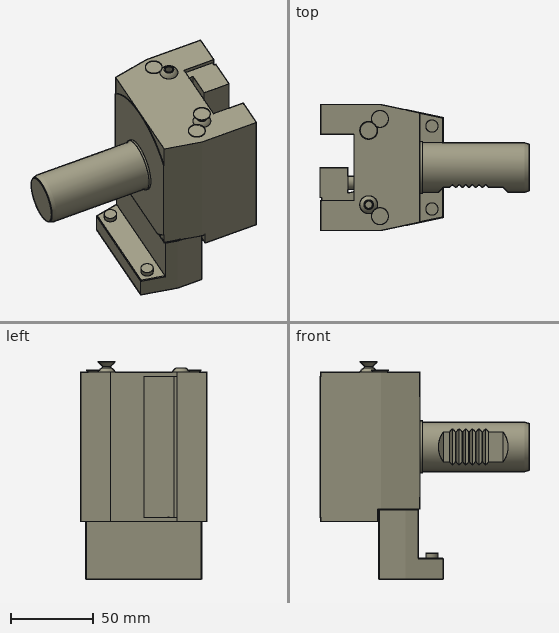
import cadquery as cq
import math


BLOCK_LENGTH = 60.0
BLOCK_WIDTH = 76.0
BLOCK_HEIGHT = 90.0
TAPER_ANGLE = 12.0
TAPER_LENGTH = 23.5
TOP_Z = BLOCK_HEIGHT / 2
SEAT_RADIUS = 45.0
SEAT_HEIGHT = 0.4
TAPER_SLOPE = math.tan(math.radians(TAPER_ANGLE))

SLOT_WIDTH = 40.0
SLOT_DEPTH = 20.0
SLOT_FLOOR_X = SLOT_DEPTH - BLOCK_LENGTH

FOOT_FRONT_X = -25.0
FOOT_BACK_X = -1.0
FOOT_LEDGE_X = 14.0
FOOT_TOP_Z = -37.5
FOOT_BOTTOM_Z = -80.0
FOOT_LEDGE_THICKNESS = 13.0
FOOT_HALF_WIDTH = 35.0
FOOT_CHAMFER = 0.5
FOOT_GAP = 0.5
FOOT_TAPER_X = -8.7
LEDGE_TOP_Z = FOOT_BOTTOM_Z + FOOT_LEDGE_THICKNESS
PIN_DIAMETER = 7.4
PIN_HEIGHT = 3.0
PIN_X = 7.1
PIN_Y = 25.0

SHANK_RADIUS = 15.0
SHANK_LENGTH = 66.0
COLLAR_RADIUS = 15.8
COLLAR_LENGTH = 1.3
LEAD_IN_LENGTH = 3.0
LEAD_IN_ANGLE = 15.0
END_CHAMFER = 0.4

FLAT_Y = -12.0
FLAT_START_X = 14.0
FLAT_END_X = 50.0
GROOVE_COUNT = 6
GROOVE_PITCH = 4.0
FIRST_GROOVE_X = 19.5
GROOVE_DEPTH = 1.7
GROOVE_HALF_WIDTH = 1.8

WEDGE_FRONT_X = -60.42
WEDGE_BACK_X = -43.6
WEDGE_HEIGHT = 85.0
WEDGE_STEP_X = -59.3
WEDGE_STEP_Y = -18.2
LIP_Y = -15.3
SCREW_DIAMETER = 8.2
SCREW_Y = -9.2
CROWN_HEIGHT = 0.1
CROWN_TOP_Y = 0.0

NOZZLE_X = -31.0
NOZZLE_Y = 22.4
NOZZLE_RADIUS = 5.4
NOZZLE_TOP_RADIUS = 2.9
NOZZLE_HEIGHT = 2.6
NOZZLE_BORE_DIAMETER = 4.4
NOZZLE_BORE_DEPTH = 6.0
PLUG_X = -24.2
PLUG_Y = 29.3
PLUG_RADIUS = 5.1
PLUG_RIM = 0.4
PLUG_HEIGHT = 1.4
PLUG_FOOT_RADIUS = PLUG_RADIUS - (PLUG_HEIGHT - PLUG_RIM)
FLARE_TOP = 6.5
NECK_RADIUS = 2.6


def tapered_prism(half_width, front_x, taper_x, back_x, bottom_z, top_z):
    """Upright prism, symmetric in Y, whose sides converge behind taper_x."""
    back_half_width = half_width - (back_x - taper_x) * TAPER_SLOPE
    outline = [
        (front_x, -half_width),
        (taper_x, -half_width),
        (back_x, -back_half_width),
        (back_x, back_half_width),
        (taper_x, half_width),
        (front_x, half_width),
    ]
    return cq.Workplane("XY").workplane(offset=bottom_z).polyline(outline).close().extrude(top_z - bottom_z)


def box(x_range, y_range, z_range):
    """Axis-aligned box between pairs of limits."""
    corner = (x_range[0], y_range[0], z_range[0])
    size = (x_range[1] - x_range[0], y_range[1] - y_range[0], z_range[1] - z_range[0])
    return cq.Workplane("XY").box(*size, centered=False).translate(corner)


def make_block():
    block = tapered_prism(BLOCK_WIDTH / 2, -BLOCK_LENGTH, -TAPER_LENGTH, 0, -TOP_Z, TOP_Z)
    slot = box((-BLOCK_LENGTH, SLOT_FLOOR_X), (-SLOT_WIDTH / 2, SLOT_WIDTH / 2), (-TOP_Z, TOP_Z))
    foot_seat = box(
        (FOOT_FRONT_X - FOOT_GAP, 0),
        (-BLOCK_WIDTH / 2, BLOCK_WIDTH / 2),
        (-TOP_Z, FOOT_TOP_Z),
    )
    return block.cut(slot).cut(foot_seat).cut(make_seat_relief())


def make_seat_relief():
    """Thin layer removed from the rear face all around its round seat."""
    layer = box((-SEAT_HEIGHT, 0), (-BLOCK_WIDTH / 2, BLOCK_WIDTH / 2), (-TOP_Z, TOP_Z))
    seat = cq.Workplane("YZ").circle(SEAT_RADIUS).extrude(-SEAT_HEIGHT)
    return layer.cut(seat)


def make_foot():
    foot = tapered_prism(
        FOOT_HALF_WIDTH, FOOT_FRONT_X, FOOT_TAPER_X, FOOT_LEDGE_X, FOOT_BOTTOM_Z, FOOT_TOP_Z
    )
    above_ledge = box(
        (FOOT_BACK_X, FOOT_LEDGE_X),
        (-FOOT_HALF_WIDTH, FOOT_HALF_WIDTH),
        (LEDGE_TOP_Z, FOOT_TOP_Z),
    )
    foot = foot.edges("<X and |Z").chamfer(FOOT_CHAMFER)
    foot = foot.faces("<Z or >Z").edges().chamfer(FOOT_CHAMFER)
    foot = foot.cut(above_ledge)
    ledge_rim = foot.faces(cq.NearestToPointSelector((PIN_X, 0, LEDGE_TOP_Z))).edges("not <X")
    foot = ledge_rim.chamfer(FOOT_CHAMFER)
    pins = (
        cq.Workplane("XY")
        .workplane(offset=LEDGE_TOP_Z)
        .pushPoints([(PIN_X, -PIN_Y), (PIN_X, PIN_Y)])
        .circle(PIN_DIAMETER / 2)
        .extrude(PIN_HEIGHT)
    )
    return foot.union(pins)


def make_shank():
    root_fillet = COLLAR_RADIUS - SHANK_RADIUS
    lead_in_radius = SHANK_RADIUS - LEAD_IN_LENGTH * math.tan(math.radians(LEAD_IN_ANGLE))
    fillet_mid = root_fillet * (1 - math.sqrt(0.5))
    shank = (
        cq.Workplane("XY")
        .lineTo(0, COLLAR_RADIUS)
        .lineTo(COLLAR_LENGTH, COLLAR_RADIUS)
        .threePointArc(
            (COLLAR_LENGTH + fillet_mid, SHANK_RADIUS + fillet_mid),
            (COLLAR_LENGTH + root_fillet, SHANK_RADIUS),
        )
        .lineTo(SHANK_LENGTH - LEAD_IN_LENGTH, SHANK_RADIUS)
        .lineTo(SHANK_LENGTH - END_CHAMFER, lead_in_radius)
        .lineTo(SHANK_LENGTH, lead_in_radius - END_CHAMFER)
        .lineTo(SHANK_LENGTH, 0)
        .close()
        .revolve(360, (0, 0, 0), (1, 0, 0))
    )
    return shank.cut(make_serration_cutter())


def make_serration_cutter():
    """Flat with 45 degree run-outs and V grooves across it."""
    run_out = FLAT_Y + COLLAR_RADIUS
    points = [(FLAT_START_X - run_out, -COLLAR_RADIUS), (FLAT_START_X, FLAT_Y)]
    for index in range(GROOVE_COUNT):
        groove_x = FIRST_GROOVE_X + index * GROOVE_PITCH
        points.append((groove_x - GROOVE_HALF_WIDTH, FLAT_Y))
        points.append((groove_x, FLAT_Y + GROOVE_DEPTH))
        points.append((groove_x + GROOVE_HALF_WIDTH, FLAT_Y))
    points.append((FLAT_END_X, FLAT_Y))
    points.append((FLAT_END_X + run_out, -COLLAR_RADIUS))
    return cq.Workplane("XY").polyline(points).close().extrude(SHANK_RADIUS, both=True)


def make_wedge():
    """Clamping bar with a slightly crowned +Y side, a lip reaching the slot floor and a screw."""
    crown_end_y = CROWN_TOP_Y - CROWN_HEIGHT
    lip_end_y = LIP_Y + (SLOT_FLOOR_X - WEDGE_BACK_X) * TAPER_SLOPE
    outline = [
        (WEDGE_BACK_X, LIP_Y),
        (SLOT_FLOOR_X, lip_end_y),
        (SLOT_FLOOR_X, -SLOT_WIDTH / 2),
        (WEDGE_STEP_X, -SLOT_WIDTH / 2),
        (WEDGE_STEP_X, WEDGE_STEP_Y),
        (WEDGE_FRONT_X, WEDGE_STEP_Y),
        (WEDGE_FRONT_X, crown_end_y),
    ]
    crown_mid_x = (WEDGE_FRONT_X + WEDGE_BACK_X) / 2
    wedge = (
        cq.Workplane("XY")
        .moveTo(WEDGE_BACK_X, crown_end_y)
        .polyline(outline, includeCurrent=True)
        .threePointArc((crown_mid_x, CROWN_TOP_Y), (WEDGE_BACK_X, crown_end_y))
        .close()
        .extrude(WEDGE_HEIGHT / 2, both=True)
    )
    screw = (
        cq.Workplane("YZ")
        .workplane(offset=WEDGE_BACK_X)
        .center(SCREW_Y, 0)
        .circle(SCREW_DIAMETER / 2)
        .extrude(SLOT_FLOOR_X - WEDGE_BACK_X)
    )
    return wedge.union(screw)


def revolve_on_top(profile, x, y):
    """Turn a closed (radius, height) profile about Z and stand it on the top face."""
    return profile.close().revolve(360, (0, 0, 0), (0, 1, 0)).translate((x, y, TOP_Z))


def make_nozzle(y):
    """Ball-shaped nozzle; the ball centre lies below the top face."""
    center_depth = (NOZZLE_RADIUS**2 - NOZZLE_TOP_RADIUS**2 - NOZZLE_HEIGHT**2) / (2 * NOZZLE_HEIGHT)
    ball_radius = math.hypot(NOZZLE_RADIUS, center_depth)
    mid_height = NOZZLE_HEIGHT / 2
    mid_radius = math.sqrt(ball_radius**2 - (mid_height + center_depth) ** 2)
    profile = (
        cq.Workplane("XZ")
        .lineTo(NOZZLE_RADIUS, 0)
        .threePointArc((mid_radius, mid_height), (NOZZLE_TOP_RADIUS, NOZZLE_HEIGHT))
        .lineTo(0, NOZZLE_HEIGHT)
    )
    return revolve_on_top(profile, NOZZLE_X, y)


def make_flared_plug(x, y, height, foot_radius):
    """Countersunk plug, wide side up, on a straight stem of foot_radius."""
    cone_bottom = height - PLUG_RIM - (PLUG_RADIUS - foot_radius)
    profile = cq.Workplane("XZ").lineTo(foot_radius, 0)
    if cone_bottom > 0:
        profile = profile.lineTo(foot_radius, cone_bottom)
    profile = (
        profile.lineTo(PLUG_RADIUS, height - PLUG_RIM)
        .lineTo(PLUG_RADIUS, height)
        .lineTo(0, height)
    )
    return revolve_on_top(profile, x, y)


def make_nozzle_bore():
    return (
        cq.Workplane("XY")
        .workplane(offset=TOP_Z + NOZZLE_HEIGHT)
        .center(NOZZLE_X, -NOZZLE_Y)
        .circle(NOZZLE_BORE_DIAMETER / 2)
        .extrude(-NOZZLE_BORE_DEPTH)
    )


result = make_block().union(make_foot()).union(make_shank()).union(make_wedge())
for side in (-1, 1):
    result = result.union(make_nozzle(side * NOZZLE_Y))
    result = result.union(make_flared_plug(PLUG_X, side * PLUG_Y, PLUG_HEIGHT, PLUG_FOOT_RADIUS))
result = result.union(make_flared_plug(NOZZLE_X, NOZZLE_Y, FLARE_TOP, NECK_RADIUS))
result = result.cut(make_nozzle_bore())